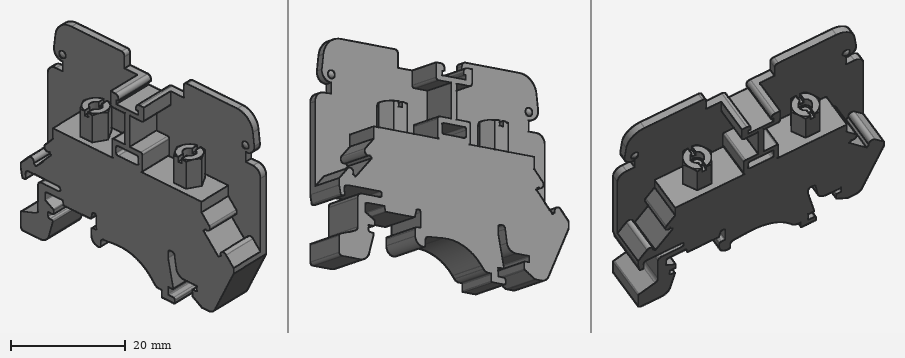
import cadquery as cq
import math


LENGTH = 50.0
HEIGHT = 41.4
THICKNESS = 8.5
WALL = 1.5
HALF = LENGTH / 2
WALL_FRONT = THICKNESS - WALL

DECK_Z = 24.45
DECK_HALF = 17.45
FLANK_TOP_Z = 22.25
FLANK_BOTTOM_Z = 13.95
GROOVE_LENGTH = 5.3
GROOVE_DEPTH = 2.1
GROOVE_FROM_WALL = 5.6
LIP_RADIUS = 0.75
LIP_SETBACK = 0.28

LEFT_WALL_FOOT_Z = 12.75
RIGHT_WALL_FOOT_Z = 12.75
SHOULDER_Z = 31.15
SHOULDER_RADIUS = 1.85
EAR_NECK_X = 21.5
EAR_BOTTOM_Z = 33.2
EAR_BOTTOM_X = 23.8
EAR_BOTTOM_RADIUS = 1.9
EAR_TOP_X = 22.8
EAR_TOP_RADIUS = 3.75
EAR_INNER_X = 6.95
EAR_INNER_RADIUS = 0.75

TOP_STEP_Z = 38.15
CHANNEL_HALF = 3.9
CHANNEL_FLOOR_Z = 36.0
CHANNEL_UNDERSIDE_Z = 35.0
CHANNEL_CORNER_RADIUS = 0.5
CHANNEL_MOUTH_HALF = 2.05
CHANNEL_INNER_HALF = 2.55
HOOK_RADIUS = 0.85
HOOK_BOTTOM_Z = 36.85
WEB_WIDTH = 1.15
BLOCK_HALF = 3.55
BLOCK_TOP_Z = 28.5
BLOCK_RADIUS = 0.4
BLOCK_SINK = 0.05
WINDOW_WIDTH = 5.25
WINDOW_HEIGHT = 2.0
WINDOW_Z = 26.45
WINDOW_RADIUS = 0.45

SCREW_PITCH = 22.0
SCREW_MIDDLE_X = 0.25
SCREW_Y = 3.75
SCREW_TOP_Z = 30.3
SCREW_FLATS = 5.0
SCREW_CHAMFER_ANGLE = 30.0
SLOT_WIDTH = 0.8
SLOT_DEPTH = 1.0
BORE_DIAMETER = 2.46
BORE_DEPTH = 2.0
BORE_FLOOR_CHAMFER = 0.22

PIP_X = 21.5
PIP_Z = 34.65
PIP_RADIUS = 0.75
PIP_HEIGHT = 0.5


def rounded_outline(corners):
    """Closed XZ wire through (x, z, radius) corners, each rounded by a tangent arc."""
    count = len(corners)
    path = None
    for i in range(count):
        x, z, radius = corners[i]
        here = cq.Vector(x, z)
        to_last = (cq.Vector(*corners[i - 1][:2]) - here).normalized()
        to_next = (cq.Vector(*corners[(i + 1) % count][:2]) - here).normalized()
        half_angle = to_last.getAngle(to_next) / 2
        reach = radius / math.tan(half_angle)
        start = here + to_last * reach
        if path is None:
            path = cq.Workplane("XZ").moveTo(start.x, start.y)
        else:
            path = path.lineTo(start.x, start.y)
        if radius > 0:
            bisector = (to_last + to_next).normalized()
            middle = here + bisector * (radius / math.sin(half_angle) - radius)
            end = here + to_next * reach
            path = path.threePointArc((middle.x, middle.y), (end.x, end.y))
    return path.close()


def prism(corners, depth=THICKNESS, front=0.0):
    """Rounded outline extruded in +Y from the given front face."""
    return rounded_outline(corners).extrude(-depth).translate((0, front, 0))


def mirrored(corners):
    """Left-hand corners mirrored to the right, in reverse order."""
    return [(-x, z, radius) for x, z, radius in reversed(corners)]


def latch_arm():
    """Left wall tip, the slot behind it and the springy arm with its rail hook."""
    slot_top, slot_bottom, slot_end = 12.95, 11.9, -15.7
    tip_z = 10.95
    arm_outer, arm_inner = -20.95, -19.3
    hook_z, notch_x = 6.5, -18.6
    return [
        (-HALF, LEFT_WALL_FOOT_Z, 0),
        (-24.65, tip_z, 0.25),
        (-23.8, tip_z, 0.25),
        (-23.95, slot_top, 0.75),
        (slot_end, slot_top, 0.5),
        (slot_end, slot_bottom, 0.5),
        (arm_outer, slot_bottom, 0.8),
        (arm_outer, 5.2, 0.9),
        (-HALF, 3.85, 0.3),
        (-HALF, 0, 0.6),
        (-18.85, 0, 2.0),
        (-17.4, 5.2, 0.2),
        (notch_x, 5.3, 0.4),
        (notch_x, hook_z, 0.1),
        (-17.3, hook_z, 0.15),
        (-17.3, 7.55, 0.2),
        (arm_inner, 8.7, 0.1),
        (arm_inner, 10.45, 0.5),
    ]


def rail_arch():
    """Rail seat, the relief beside it, the claw and the long arch to the middle foot."""
    seat_z, relief_z, relief_x = 9.45, 11.0, -7.3
    claw_outer, claw_inner = -8.45, -6.25
    claw_top, claw_bottom = 7.75, 4.4
    return [
        (-15.15, 10.45, 0.1),
        (-14.95, seat_z, 0.1),
        (-8.55, seat_z, 0.1),
        (-8.15, relief_z, 0.4),
        (relief_x, relief_z, 0.4),
        (relief_x, claw_top, 0.1),
        (claw_outer, claw_top, 0.4),
        (claw_outer, claw_bottom, 1.75),
        (claw_inner, claw_bottom, 0.4),
        (claw_inner, 6.35, 0.8),
        (2.7, 7.1, 9.7),
        (6.8, 1.95, 1.5),
    ]


def middle_foot():
    """Small toed foot and the tapered relief slot to its right."""
    foot_x, foot_bottom = 8.1, 0.4
    toe_x, heel_x = 11.2, 9.6
    slot_top = 11.05
    return [
        (foot_x, 1.95, 0.1),
        (foot_x, foot_bottom, 0.2),
        (toe_x, foot_bottom, 0.2),
        (toe_x, 1.6, 0.4),
        (heel_x, 1.65, 0.15),
        (heel_x, 3.25, 0),
        (10.8, 3.25, 0.1),
        (10.8, 3.6, 0.1),
        (heel_x, 9.4, 0.3),
        (heel_x, slot_top, 0.65),
        (11.05, slot_top, 0.65),
    ]


def right_heel():
    """Rail pocket under the right end and the sloping heel up to the right wall."""
    pocket_z, pocket_x, lip_x, lip_z = 6.4, 16.35, 15.3, 5.25
    heel_z = 2.4
    return [
        (11.75, pocket_z, 1.9),
        (pocket_x, pocket_z, 0.1),
        (pocket_x, lip_z, 0.1),
        (lip_x, lip_z, 0.1),
        (lip_x, 3.8, 0.2),
        (17.6, heel_z, 0.3),
        (20.15, heel_z, 1.6),
        (HALF, RIGHT_WALL_FOOT_Z, 0),
    ]


def lower_edge():
    """Underside shared by the body and the back plate, from left to right."""
    return latch_arm() + rail_arch() + middle_foot() + right_heel()


def back_plate():
    """Full-height plate with a raised ear at each end."""
    left = [
        (-CHANNEL_HALF, TOP_STEP_Z, 0),
        (-EAR_INNER_X, TOP_STEP_Z, 0),
        (-EAR_INNER_X, HEIGHT, EAR_INNER_RADIUS),
        (-EAR_TOP_X, HEIGHT, EAR_TOP_RADIUS),
        (-EAR_BOTTOM_X, EAR_BOTTOM_Z, EAR_BOTTOM_RADIUS),
        (-EAR_NECK_X, EAR_BOTTOM_Z, 0),
        (-EAR_NECK_X, SHOULDER_Z, 0),
        (-HALF, SHOULDER_Z, SHOULDER_RADIUS),
    ]
    channel = [
        (CHANNEL_HALF, CHANNEL_FLOOR_Z, 0),
        (-CHANNEL_HALF, CHANNEL_FLOOR_Z, 0),
    ]
    return prism(lower_edge() + mirrored(left) + channel + left, WALL, WALL_FRONT)


def body():
    """Full-thickness body below the deck."""
    left = [
        (-DECK_HALF, DECK_Z, 0),
        (-DECK_HALF, FLANK_TOP_Z, 0),
        (-HALF, FLANK_BOTTOM_Z, 0),
    ]
    return prism(lower_edge() + mirrored(left) + left)


def flank_groove():
    """Cutter for the left flank: a groove with rounded, overhanging lips."""
    half = GROOVE_LENGTH / 2
    lip_x = half + LIP_SETBACK
    lip_depth = GROOVE_DEPTH - LIP_RADIUS
    wall_top = lip_depth - math.sqrt(LIP_RADIUS**2 - LIP_SETBACK**2)
    nose_x = lip_x - LIP_RADIUS
    slope = math.atan2(FLANK_TOP_Z - FLANK_BOTTOM_Z, HALF - DECK_HALF)
    profile = (
        cq.Workplane("XZ")
        .moveTo(-half, 0)
        .lineTo(half, 0)
        .lineTo(half, wall_top)
        .threePointArc((nose_x, lip_depth), (lip_x, GROOVE_DEPTH))
        .lineTo(-lip_x, GROOVE_DEPTH)
        .threePointArc((-nose_x, lip_depth), (-half, wall_top))
        .close()
        .extrude(-WALL_FRONT)
    )
    return (
        profile.translate((GROOVE_FROM_WALL, 0, -GROOVE_DEPTH))
        .rotate((0, 0, 0), (0, 1, 0), -math.degrees(slope))
        .translate((-HALF, 0, FLANK_BOTTOM_Z))
    )


def label_channel():
    """Hooked channel along Y, carried on a thin web."""
    left = [
        (-CHANNEL_INNER_HALF, CHANNEL_FLOOR_Z, 0),
        (-CHANNEL_INNER_HALF, HOOK_BOTTOM_Z, 0.1),
        (-CHANNEL_MOUTH_HALF, HOOK_BOTTOM_Z, 0.2),
        (-CHANNEL_MOUTH_HALF, TOP_STEP_Z, HOOK_RADIUS),
        (-CHANNEL_HALF, TOP_STEP_Z, 0),
        (-CHANNEL_HALF, CHANNEL_UNDERSIDE_Z, CHANNEL_CORNER_RADIUS),
    ]
    web_half = WEB_WIDTH / 2
    web = [
        (-web_half, CHANNEL_FLOOR_Z, 0),
        (-web_half, DECK_Z, 0),
    ]
    return prism(left + mirrored(left)).union(prism(web + mirrored(web)))


def centre_block():
    """Raised block in the middle of the deck, rounded at all four corners."""
    left = [
        (-BLOCK_HALF, DECK_Z - BLOCK_SINK, BLOCK_RADIUS),
        (-BLOCK_HALF, BLOCK_TOP_Z, BLOCK_RADIUS),
    ]
    return prism(left + mirrored(left))


def window():
    """Cutter for the blind window, reaching back to the plate."""
    low = WINDOW_Z - WINDOW_HEIGHT / 2
    left = [
        (-WINDOW_WIDTH / 2, low, WINDOW_RADIUS),
        (-WINDOW_WIDTH / 2, low + WINDOW_HEIGHT, WINDOW_RADIUS),
    ]
    return prism(left + mirrored(left), WALL_FRONT)


def screw(x):
    """Slotted hexagonal screw head standing on the deck, with a blind bore."""
    height = SCREW_TOP_Z - DECK_Z
    corner_radius = SCREW_FLATS / math.sqrt(3)
    chamfer_width = corner_radius - SCREW_FLATS / 2
    chamfer_drop = chamfer_width * math.tan(math.radians(SCREW_CHAMFER_ANGLE))
    turned = (
        cq.Workplane("XY")
        .circle(corner_radius)
        .extrude(height)
        .faces(">Z")
        .chamfer(chamfer_drop, chamfer_width)
    )
    head = cq.Workplane("XY").polygon(6, 2 * corner_radius).extrude(height).intersect(turned)
    slot = (
        cq.Workplane("XY")
        .box(SLOT_WIDTH, 2 * SCREW_FLATS, SLOT_DEPTH)
        .translate((0, 0, height - SLOT_DEPTH / 2))
    )
    bore = (
        cq.Workplane("XY")
        .circle(BORE_DIAMETER / 2)
        .extrude(BORE_DEPTH)
        .faces("<Z")
        .chamfer(BORE_FLOOR_CHAMFER)
        .translate((0, 0, height - BORE_DEPTH))
    )
    return head.cut(slot).cut(bore).translate((x, SCREW_Y, DECK_Z))


def pip(x):
    """Domed locating pip on the inner face of the back plate."""
    sphere_radius = (PIP_RADIUS**2 + PIP_HEIGHT**2) / (2 * PIP_HEIGHT)
    centre_y = WALL_FRONT - PIP_HEIGHT + sphere_radius
    return cq.Workplane("XZ").sphere(sphere_radius).translate((x, centre_y, PIP_Z))


left_groove = flank_groove()
result = body().cut(left_groove).cut(left_groove.mirror("YZ"))
result = result.union(back_plate()).union(label_channel())
result = result.union(centre_block()).cut(window())
for side in (-1, 1):
    result = result.union(screw(SCREW_MIDDLE_X + side * SCREW_PITCH / 2))
    result = result.union(pip(side * PIP_X))